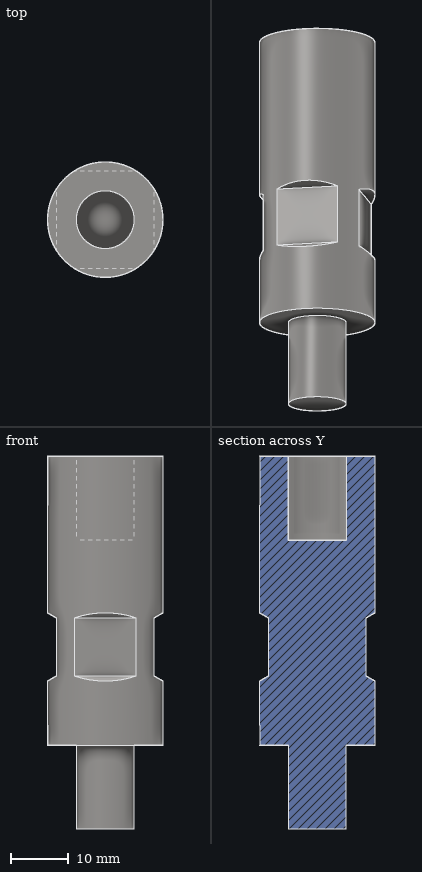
import cadquery as cq
import math

total_length = 64.5
body_diameter = 20.0
stud_diameter = body_diameter / 2
stud_length = 14.5
bore_diameter = stud_diameter
bore_depth = stud_length

across_flats = 16.9
flat_length = 10.0
flat_start = stud_length + 12.0
end_wall_angle = 30.0
flat_count = 4
cutter_clearance = 0.65

body_radius = body_diameter / 2
flat_distance = across_flats / 2


def stepped_body():
    """Cylindrical body standing on a thinner stud."""
    stud = cq.Workplane("XY").circle(stud_diameter / 2).extrude(stud_length)
    body = (
        cq.Workplane("XY")
        .workplane(offset=stud_length)
        .circle(body_radius)
        .extrude(total_length - stud_length)
    )
    return stud.union(body)


def flat_cutter():
    """Trapezoidal prism on the +X side, widening outwards."""
    outer_distance = body_radius + cutter_clearance
    flare = (outer_distance - flat_distance) * math.tan(math.radians(end_wall_angle))
    flat_end = flat_start + flat_length
    return (
        cq.Workplane("XZ")
        .moveTo(flat_distance, flat_start)
        .lineTo(outer_distance, flat_start - flare)
        .lineTo(outer_distance, flat_end + flare)
        .lineTo(flat_distance, flat_end)
        .close()
        .extrude(body_radius, both=True)
    )


def bore():
    """Blind hole in the top face."""
    return (
        cq.Workplane("XY")
        .workplane(offset=total_length - bore_depth)
        .circle(bore_diameter / 2)
        .extrude(bore_depth)
    )


result = stepped_body().cut(bore())
for index in range(flat_count):
    angle = index * 360 / flat_count
    result = result.cut(flat_cutter().rotate((0, 0, 0), (0, 0, 1), angle))